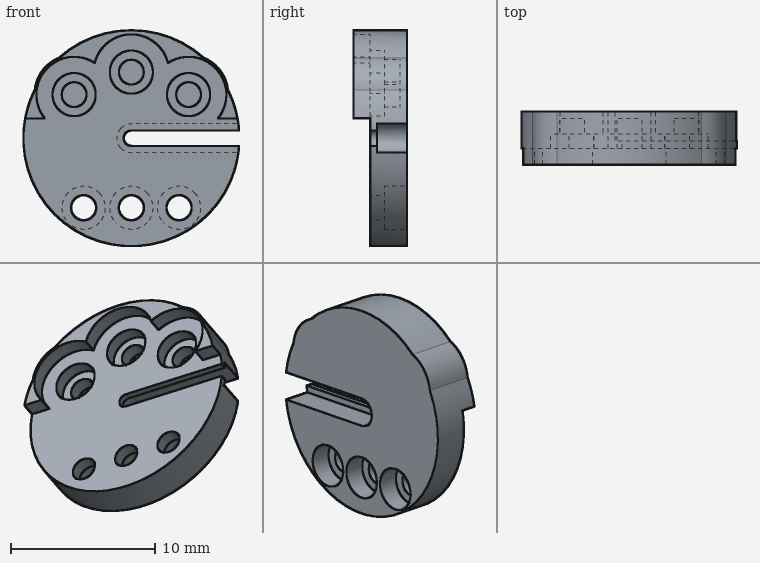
import cadquery as cq

overall_length = 14.97
slot_width = 1.05
disc_radius = (overall_length**2 + (slot_width / 2) ** 2) / (2 * overall_length)
thickness = 3.71
rim_height = 1.15
front_face_y = -thickness / 2
plate_face_y = front_face_y + rim_height
rear_face_y = thickness / 2

upper_side_x = 3.97
upper_side_z = 3.02
upper_middle_z = 4.58
upper_centres = [(-upper_side_x, upper_side_z), (0, upper_middle_z), (upper_side_x, upper_side_z)]
recess_radius = 2.62
ear_radius = 2.75
counterbore_diameter = 3.0
counterbore_depth = 1.0
blind_floor = 0.5
hole_diameter = 1.72
rim_bottom_z = 1.38

lower_hole_spacing = 3.31
lower_hole_z = -4.82
lower_hole_depth = 1.0

slot_lip = 0.5
rear_slot_width = 2.0


def cylinder(x, z, radius, start_y, end_y):
    """Cylinder along Y between two Y positions."""
    direction = cq.Vector(0, 1, 0)
    return cq.Workplane(cq.Solid.makeCylinder(radius, end_y - start_y, cq.Vector(x, start_y, z), direction))


def box(x_range, y_range, z_range):
    """Axis-aligned box given by its limits."""
    sizes = [high - low for low, high in (x_range, y_range, z_range)]
    corner = (x_range[0], y_range[0], z_range[0])
    return cq.Workplane("XY").box(*sizes, centered=False).translate(corner)


def open_slot(width, start_y, end_y):
    """Slot with a round end on the disc axis, running out through the +X side."""
    half_width = width / 2
    straight = box((0, 2 * disc_radius), (start_y, end_y), (-half_width, half_width))
    return straight.union(cylinder(0, 0, half_width, start_y, end_y))


body = cylinder(0, 0, disc_radius, front_face_y, rear_face_y)
for x, z in (upper_centres[0], upper_centres[-1]):
    body = body.union(cylinder(x, z, ear_radius, front_face_y, rear_face_y))

body = body.cut(
    box((-disc_radius, disc_radius), (front_face_y, plate_face_y), (-disc_radius, rim_bottom_z))
)
for x, z in upper_centres:
    body = body.cut(cylinder(x, z, recess_radius, front_face_y, plate_face_y))
inner_floor = (
    cq.Workplane("XZ", origin=(0, front_face_y, 0))
    .polyline([(-upper_side_x, 0), *upper_centres, (upper_side_x, 0)])
    .close()
    .extrude(-rim_height)
)
body = body.cut(inner_floor)

for x, z in upper_centres:
    body = body.cut(cylinder(x, z, counterbore_diameter / 2, plate_face_y, plate_face_y + counterbore_depth))
    body = body.cut(cylinder(x, z, hole_diameter / 2, plate_face_y, rear_face_y - blind_floor))

for column in (-1, 0, 1):
    x = column * lower_hole_spacing
    body = body.cut(cylinder(x, lower_hole_z, hole_diameter / 2, plate_face_y, rear_face_y))
    counterbore_start_y = plate_face_y + lower_hole_depth
    body = body.cut(cylinder(x, lower_hole_z, counterbore_diameter / 2, counterbore_start_y, rear_face_y))

body = body.cut(open_slot(slot_width, plate_face_y, rear_face_y))
body = body.cut(open_slot(rear_slot_width, plate_face_y + slot_lip, rear_face_y))

result = body